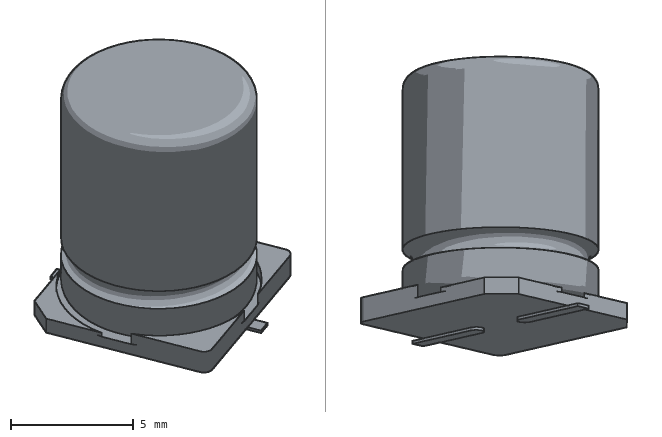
import cadquery as cq


total_height = 10.51
lead_span = 9.5

lead_width = 0.63
lead_thickness = 0.13
lead_inner_gap = 2.14

plate_side = 8.3
plate_bottom = lead_thickness
plate_low_top = 0.82
plate_high_top = 1.16
corner_chamfer = 0.99
corner_radius = 0.38

seat_floor = 0.63
seat_radius = 4.2

can_radius = 4.01
can_edge_radius = 0.56
groove_bottom = 2.35
groove_top = 3.22
groove_depth = 0.4


def make_plate():
    """Square plate, low on the chamfered -X half and high on the rounded +X half."""
    plate = (
        cq.Workplane("XY", origin=(0, 0, plate_bottom))
        .rect(plate_side, plate_side)
        .extrude(plate_high_top - plate_bottom)
        .edges("|Z and <X")
        .chamfer(corner_chamfer)
        .edges("|Z and >X")
        .fillet(corner_radius)
    )
    low_half = (
        cq.Workplane("XY", origin=(-plate_side / 2, 0, plate_low_top))
        .rect(plate_side, plate_side)
        .extrude(plate_high_top - plate_low_top)
    )
    seat = (
        cq.Workplane("XY", origin=(0, 0, seat_floor))
        .circle(seat_radius)
        .extrude(plate_high_top - seat_floor)
    )
    return plate.cut(low_half).cut(seat)


def make_can():
    """Round can standing on the seat, with rounded ends and a crimp groove."""
    groove_middle = (groove_bottom + groove_top) / 2
    can = (
        cq.Workplane("XZ")
        .moveTo(0, seat_floor)
        .lineTo(can_radius, seat_floor)
        .lineTo(can_radius, groove_bottom)
        .threePointArc((can_radius - groove_depth, groove_middle), (can_radius, groove_top))
        .lineTo(can_radius, total_height)
        .lineTo(0, total_height)
        .close()
        .revolve(360, (0, 0), (0, 1))
    )
    return can.faces("<Z or >Z").edges().fillet(can_edge_radius)


def make_lead(side):
    """Flat lead with a square outer end and a round inner end; side is -1 or +1 along X."""
    round_center = side * (lead_inner_gap + lead_width) / 2
    outer_end = side * lead_span / 2
    half_width = lead_width / 2
    return (
        cq.Workplane("XY")
        .moveTo(outer_end, -half_width)
        .lineTo(round_center, -half_width)
        .threePointArc((side * lead_inner_gap / 2, 0), (round_center, half_width))
        .lineTo(outer_end, half_width)
        .close()
        .extrude(lead_thickness)
    )


result = make_plate().union(make_can())
for side in (-1, 1):
    result = result.union(make_lead(side))